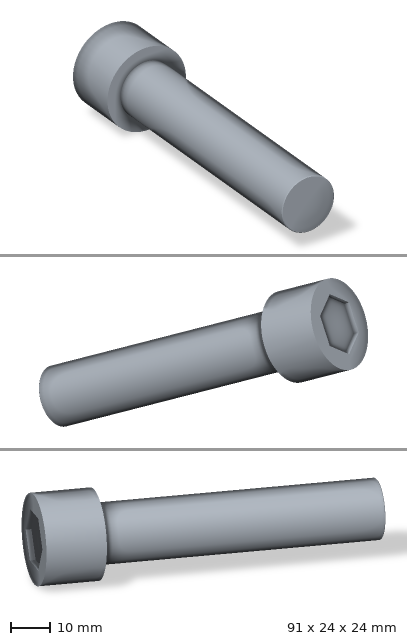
import cadquery as cq
import math

total_length = 91.0
shank_diameter = 16.0
head_diameter = 1.5 * shank_diameter
head_height = shank_diameter
tip_chamfer = 0.2

socket_across_flats = 14.0
socket_depth = 1.55
socket_across_corners = socket_across_flats / math.cos(math.pi / 6)


def head():
    return cq.Workplane("YZ").circle(head_diameter / 2).extrude(head_height)


def shank():
    rod = cq.Workplane("YZ").circle(shank_diameter / 2).extrude(total_length)
    return rod.faces(">X").edges().chamfer(tip_chamfer)


def socket():
    return cq.Workplane("YZ").polygon(6, socket_across_corners).extrude(socket_depth)


result = head().union(shank()).cut(socket())